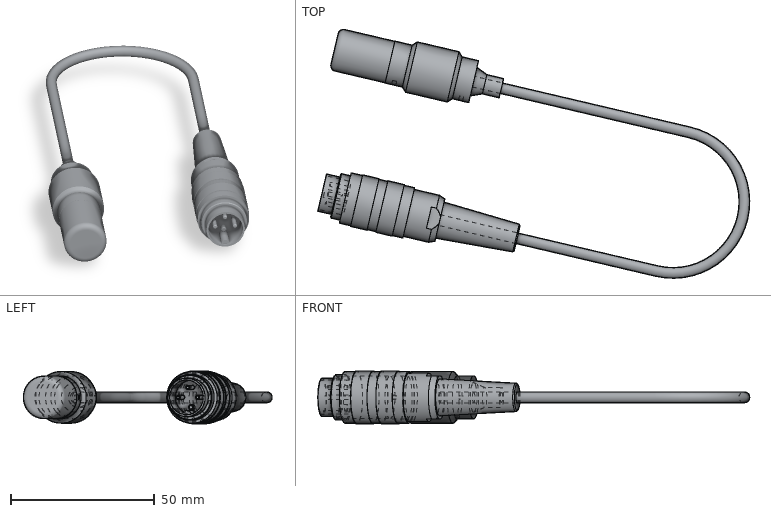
import cadquery as cq
TILT = -13.2

CABLE_DIA = 3.8
BEND_RADIUS = 24.9

SOCKET_END = -127.4
CAP_END = -107.5
COLLAR_START = -101.3
COLLAR_END = -83.3
SOCKET_REAR = -77.5
CAP_DIA = 15.0
SOCKET_DIA = 15.1
COLLAR_DIA = 18.1
COLLAR_CHAMFER = (COLLAR_DIA - SOCKET_DIA) / 2
CAP_FILLET = 2.0
SCREW_HOLE_DIA = 1.5
SCREW_HOLE_DEPTH = 1.5
SCREW_HOLE_STATIONS = ((CAP_END + COLLAR_START) / 2, (COLLAR_END + SOCKET_REAR) / 2)

FLARE_END = -73.5
SLEEVE_END = -67.5
SLEEVE_DIA = 7.0
FLARE_DIA = 10.3

PLUG_TIP = -120.1
NOSE_START = -115.3
GRIP_START = -111.8
RIB_STARTS = (-107.8, -98.7)
RIB_LENGTH = 5.9
GRIP_END = -89.0
PLUG_REAR = -77.9
TIP_DIA = 13.5
BORE_DIA = 12
BORE_DEPTH = 9
BORE_FLOOR = PLUG_TIP + BORE_DEPTH
NOSE_DIA = 16.0
NOSE_CHAMFER = 0.3
GRIP_DIA = 18.1
RIB_DIA = 18.5
BARREL_DIA = 16.9
REAR_DIA = 15.2
REAR_TAPER_LENGTH = 2.1
FLAT_LENGTH = 3.9
FLAT_HEIGHT = 7.5

PIN_DIA = 1.5
PIN_CIRCLE_DIA = 7.0
PIN_LENGTH = 7.1
PIN_TIP_CHAMFER = 0.3
LOWER_PIN_DIA = 1.8
LOWER_PIN_LENGTH = 2.3
KEY_SETBACK = 0.8
KEY_DIA = 3

BOOT_END = -50.1
BOOT_BASE_DIA = 13.0
BOOT_TIP_DIA = 10.0
BOOT_TIP_CHAMFER = 0.5


def cylinder(start, end, diameter):
    """Cylinder on the X axis between two stations."""
    return cq.Workplane("YZ", origin=(start, 0, 0)).circle(diameter / 2).extrude(end - start)


def cone(start, end, start_diameter, end_diameter):
    """Truncated cone on the X axis between two stations."""
    return (
        cq.Workplane("YZ", origin=(start, 0, 0))
        .circle(start_diameter / 2)
        .workplane(offset=end - start)
        .circle(end_diameter / 2)
        .loft()
    )


def place(body, side):
    """Move a body from the X axis to its cable leg, then tilt it."""
    return body.translate((0, side * BEND_RADIUS, 0)).rotate((0, 0, 0), (0, 0, 1), TILT)


def make_cable():
    path = (
        cq.Workplane("XY")
        .moveTo(SOCKET_REAR, BEND_RADIUS)
        .lineTo(0, BEND_RADIUS)
        .threePointArc((BEND_RADIUS, 0), (0, -BEND_RADIUS))
        .lineTo(PLUG_REAR, -BEND_RADIUS)
    )
    profile = cq.Workplane("YZ", origin=(SOCKET_REAR, BEND_RADIUS, 0)).circle(CABLE_DIA / 2)
    return profile.sweep(path).rotate((0, 0, 0), (0, 0, 1), TILT)


def make_socket():
    cap = cylinder(SOCKET_END, CAP_END, CAP_DIA).faces("<X").edges().fillet(CAP_FILLET)
    core = cylinder(CAP_END, SOCKET_REAR, SOCKET_DIA)
    collar = cylinder(COLLAR_START, COLLAR_END, COLLAR_DIA).edges().chamfer(COLLAR_CHAMFER)
    socket = cap.union(core).union(collar)
    for station in SCREW_HOLE_STATIONS:
        hole = (
            cq.Workplane("XZ", origin=(station, -SOCKET_DIA / 2, 0))
            .circle(SCREW_HOLE_DIA / 2)
            .extrude(-SCREW_HOLE_DEPTH)
        )
        socket = socket.cut(hole)
    return place(socket, 1)


def make_sleeve():
    """Strain relief tube whose front end flares out to the socket."""
    sleeve = cone(SOCKET_REAR, FLARE_END, FLARE_DIA, SLEEVE_DIA)
    sleeve = sleeve.union(cylinder(FLARE_END, SLEEVE_END, SLEEVE_DIA))
    return place(sleeve.cut(cylinder(SOCKET_REAR, SLEEVE_END, CABLE_DIA)), 1)


def make_plug():
    plug = cylinder(PLUG_TIP, NOSE_START, TIP_DIA)
    nose = cylinder(NOSE_START, GRIP_START, NOSE_DIA).faces("<X").edges().chamfer(NOSE_CHAMFER)
    plug = plug.union(nose).union(cylinder(GRIP_START, GRIP_END, GRIP_DIA))
    for start in RIB_STARTS:
        plug = plug.union(cylinder(start, start + RIB_LENGTH, RIB_DIA))
    plug = plug.union(make_barrel())
    plug = plug.cut(cylinder(PLUG_TIP, BORE_FLOOR, BORE_DIA)).union(make_key())
    for direction in ((1, 0), (0, 1), (-1, 0)):
        plug = plug.union(make_pin(PIN_DIA, PIN_LENGTH, direction))
    plug = plug.union(make_pin(LOWER_PIN_DIA, LOWER_PIN_LENGTH, (0, -1)))
    return place(plug, -1)


def make_pin(diameter, length, direction):
    """Contact pin on the bore floor, offset from the axis in a (Y, Z) direction."""
    pin = cylinder(BORE_FLOOR - length, BORE_FLOOR, diameter).faces("<X").chamfer(PIN_TIP_CHAMFER)
    offset = PIN_CIRCLE_DIA / 2
    return pin.translate((0, offset * direction[0], offset * direction[1]))


def make_key():
    """Half-round rib along the bottom of the bore, rooted in the bore wall."""
    key_start = PLUG_TIP + KEY_SETBACK
    rib = cylinder(key_start, BORE_FLOOR, KEY_DIA).translate((0, 0, -BORE_DIA / 2))
    return rib.intersect(cylinder(key_start, BORE_FLOOR, TIP_DIA))


def make_barrel():
    """Rear part of the plug, with a tapered end and a wrench flat above and below."""
    taper_start = PLUG_REAR - REAR_TAPER_LENGTH
    barrel = cylinder(GRIP_END, taper_start, BARREL_DIA)
    barrel = barrel.union(cone(taper_start, PLUG_REAR, BARREL_DIA, REAR_DIA))
    flat_depth = BARREL_DIA / 2 - FLAT_HEIGHT
    for side in (1, -1):
        flat = cq.Workplane("XY").box(FLAT_LENGTH, BARREL_DIA, flat_depth).translate(
            (PLUG_REAR - FLAT_LENGTH / 2, 0, side * (FLAT_HEIGHT + flat_depth / 2))
        )
        barrel = barrel.cut(flat)
    return barrel


def make_boot():
    boot = cone(PLUG_REAR, BOOT_END, BOOT_BASE_DIA, BOOT_TIP_DIA).faces(">X").chamfer(BOOT_TIP_CHAMFER)
    return place(boot.cut(cylinder(PLUG_REAR, BOOT_END, CABLE_DIA)), -1)


cable = make_cable()
socket = make_socket()
sleeve = make_sleeve()
plug = make_plug()
boot = make_boot()

result = cq.Compound.makeCompound([cable.val(), socket.val(), sleeve.val(), plug.val(), boot.val()])